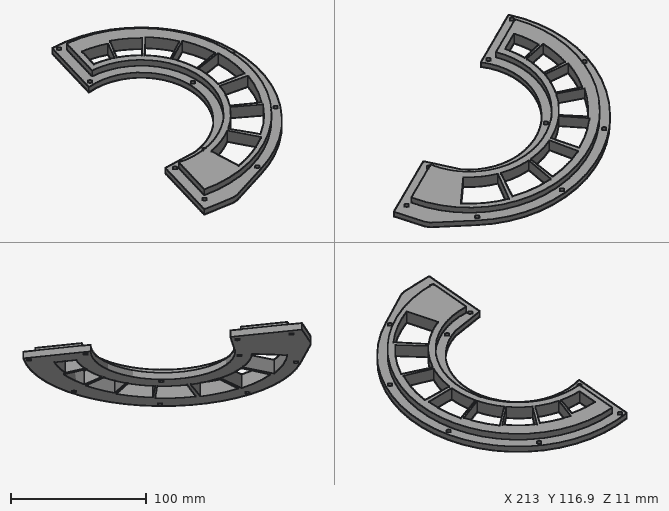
import cadquery as cq
import math

overall_length = 213.0
base_height = 5.3
total_height = 11.0

flange_outer_radius = 103.7
flange_inner_radius = 53.2
flange_end_y = -13.2
flange_right_x = overall_length - flange_outer_radius
outer_tangent_angle = 26.5
inner_tangent_angle = 16.0
shoulder_corner = (108.4, 15.8)
shoulder_end_y = 11.5
right_leg_inner_x = 54.7

raised_outer_radius = 96.0
raised_inner_radius = 60.7
raised_end_y = -5.0

window_inner_radius = 66.0
windows = [
    (19.5, 42.0, 92.0),
    (44.0, 65.0, 90.5),
    (66.6, 86.8, 89.6),
    (89.0, 108.4, 88.8),
    (109.6, 127.8, 87.5),
    (129.0, 146.0, 86.2),
    (147.6, 163.8, 85.2),
    (165.3, 180.0, 82.6),
]

hole_diameter = 3.5
outer_hole_radius = 100.0
outer_hole_start_angle = 26.8
outer_hole_pitch = 39.6
outer_hole_count = 4
inner_hole_radius = 56.8
inner_hole_angles = [23.1, 106.0]
end_holes = [(-99.6, -9.2), (-56.5, -9.2), (58.5, -7.0), (99.6, -7.0)]


def polar(radius, angle):
    """Point at a radius and an angle in degrees."""
    return (radius * math.cos(math.radians(angle)), radius * math.sin(math.radians(angle)))


def left_point(radius, y):
    """Point at height y on the left half of a circle."""
    return (-math.sqrt(radius**2 - y**2), y)


def right_point(radius, y):
    """Point at height y on the right half of a circle."""
    return (math.sqrt(radius**2 - y**2), y)


def make_flange():
    """Flat base with a straight shoulder and leg at its right end."""
    return (
        cq.Workplane("XY")
        .moveTo(*left_point(flange_outer_radius, flange_end_y))
        .threePointArc((0, flange_outer_radius), polar(flange_outer_radius, outer_tangent_angle))
        .lineTo(*shoulder_corner)
        .lineTo(flange_right_x, shoulder_end_y)
        .lineTo(flange_right_x, flange_end_y)
        .lineTo(right_leg_inner_x, flange_end_y)
        .lineTo(*polar(flange_inner_radius, inner_tangent_angle))
        .threePointArc((0, flange_inner_radius), left_point(flange_inner_radius, flange_end_y))
        .close()
        .extrude(base_height)
    )


def make_raised_band():
    """Half-ring band that stands on the base."""
    return (
        cq.Workplane("XY")
        .moveTo(*left_point(raised_outer_radius, raised_end_y))
        .threePointArc((0, raised_outer_radius), right_point(raised_outer_radius, raised_end_y))
        .lineTo(*right_point(raised_inner_radius, raised_end_y))
        .threePointArc((0, raised_inner_radius), left_point(raised_inner_radius, raised_end_y))
        .close()
        .extrude(total_height)
    )


def make_window(start_angle, end_angle, outer_radius):
    """Cutter for one ring-sector opening through the full height."""
    middle_angle = (start_angle + end_angle) / 2
    return (
        cq.Workplane("XY")
        .moveTo(*polar(window_inner_radius, start_angle))
        .lineTo(*polar(outer_radius, start_angle))
        .threePointArc(polar(outer_radius, middle_angle), polar(outer_radius, end_angle))
        .lineTo(*polar(window_inner_radius, end_angle))
        .threePointArc(
            polar(window_inner_radius, middle_angle), polar(window_inner_radius, start_angle)
        )
        .close()
        .extrude(total_height)
    )


def make_holes():
    """Cutters for the screw holes through the base."""
    outer_angles = [outer_hole_start_angle + i * outer_hole_pitch for i in range(outer_hole_count)]
    outer_holes = [polar(outer_hole_radius, angle) for angle in outer_angles]
    inner_holes = [polar(inner_hole_radius, angle) for angle in inner_hole_angles]
    return (
        cq.Workplane("XY")
        .pushPoints(outer_holes + inner_holes + end_holes)
        .circle(hole_diameter / 2)
        .extrude(base_height)
    )


result = make_flange().union(make_raised_band())
for start, end, radius in windows:
    result = result.cut(make_window(start, end, radius))
result = result.cut(make_holes())